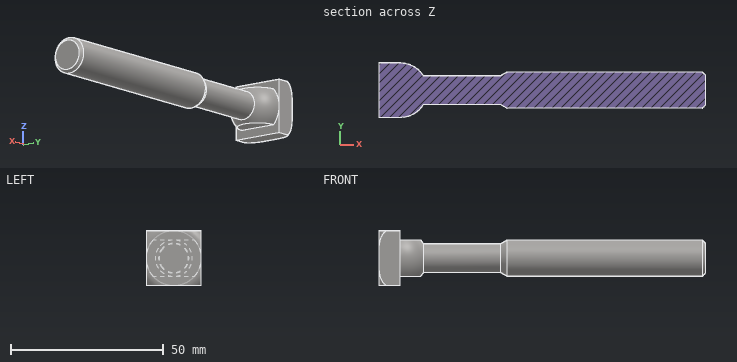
import cadquery as cq
import math

total_length = 107.0
head_width = 18.0
head_thickness = 7.0
head_face_diameter = head_width
head_rim_radius = 4.0
collar_thickness = 12.0
neck_diameter = 9.5
shank_diameter = 12.0
shank_length = 65.0
shoulder_angle = 30.0
end_chamfer = 1.07

head_start = -total_length / 2
head_end = head_start + head_thickness
shank_end = total_length / 2
shank_start = shank_end - shank_length


def make_head():
    """Square head whose front corners are rounded off by a turned, quarter-round rim."""
    block = cq.Workplane("YZ", origin=(head_start, 0, 0)).rect(head_width, head_width)
    block = block.extrude(head_thickness)
    rim_outer_radius = head_face_diameter / 2 + head_rim_radius
    envelope = cq.Workplane("YZ", origin=(head_start, 0, 0)).circle(rim_outer_radius)
    envelope = envelope.extrude(head_thickness).faces("<X").edges().fillet(head_rim_radius)
    return block.intersect(envelope)


def make_collar():
    """Half ball behind the head, flattened to the slot width on +Z and -Z."""
    radius = head_width / 2
    ball = cq.Workplane("XY").sphere(radius).translate((head_end, 0, 0))
    slab = cq.Workplane("XY", origin=(head_end, 0, 0)).box(
        radius, head_width, collar_thickness, centered=(False, True, True)
    )
    return ball.intersect(slab)


def make_shaft():
    """Neck, conical shoulder and shank with a chamfered end."""
    neck_radius = neck_diameter / 2
    shank_radius = shank_diameter / 2
    shoulder_length = (shank_radius - neck_radius) / math.tan(math.radians(shoulder_angle))
    end_radius = shank_radius - end_chamfer
    profile = [
        (head_end, 0),
        (head_end, neck_radius),
        (shank_start - shoulder_length, neck_radius),
        (shank_start, shank_radius),
        (shank_end - end_chamfer, shank_radius),
        (shank_end, end_radius),
        (shank_end, 0),
    ]
    axis_start = (0, 0, 0)
    axis_end = (1, 0, 0)
    return cq.Workplane("XY").polyline(profile).close().revolve(360, axis_start, axis_end)


result = make_head().union(make_collar()).union(make_shaft())